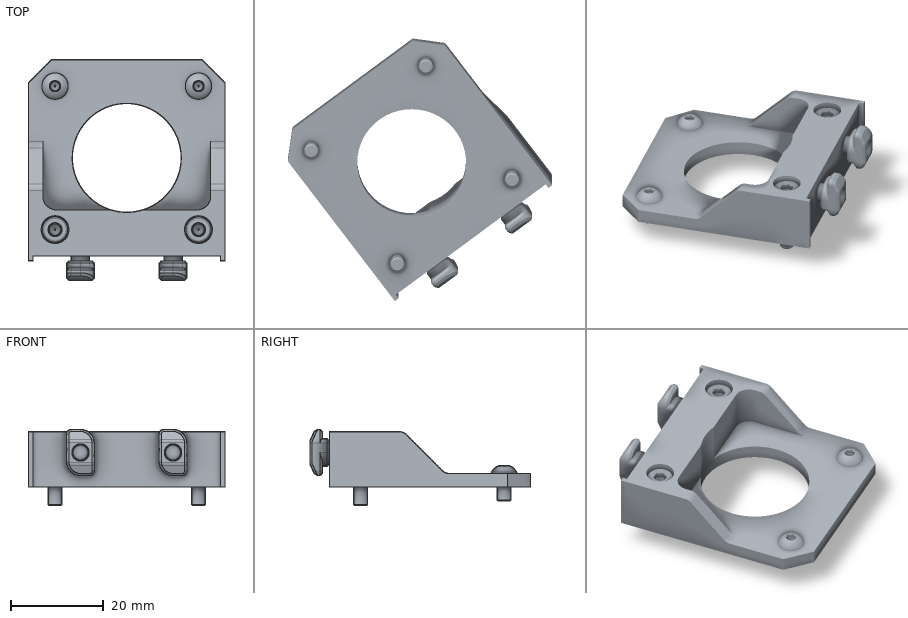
import cadquery as cq
import math


WIDTH = 42.5
BACK_Y = 21.25
TAB_FRONT_Y = -22.25
TAB_LENGTH = 1.0
TAB_WIDTH = 1.0
PLATE_THICKNESS = 3.0
HEIGHT = 12.0
CORNER_CHAMFER = 5.0
BORE_DIAMETER = 23.5
SIDE_WALL = 3.1
POCKET_FRONT_Y = -11.25
POCKET_CORNER_RADIUS = 3.0
SLOPE_LOW_Y = 2.75
SLOPE_RADIUS = 2.0
SLOPE_HIGH_Y = SLOPE_LOW_Y - (HEIGHT - PLATE_THICKNESS)

SCREW_OFFSET = 15.5
SCREW_DIAMETER = 3.0
SCREW_TIP_CHAMFER = 0.25
HEX_SIDES = 6
SOCKET_POINT_ANGLE = 120.0
SOCKET_POINT_FLAT = 0.3
SOCKET_MOUTH_ANGLE = 90.0

CAP_HEAD_DIAMETER = 5.5
CAP_HEAD_HEIGHT = 3.0
CAP_HEAD_FILLET = 0.3
CAP_LENGTH = 12.0
CAP_SOCKET_FLATS = 2.5
CAP_SOCKET_MOUTH = 3.0
CAP_SOCKET_DEPTH = 1.3
COUNTERBORE_DIAMETER = 6.0
COUNTERBORE_DEPTH = 4.0
CAP_SEAT_Z = HEIGHT - COUNTERBORE_DEPTH

BUTTON_HEAD_DIAMETER = 5.7
BUTTON_HEAD_HEIGHT = 1.65
BUTTON_LENGTH = 6.0
BUTTON_SOCKET_FLATS = 2.0
BUTTON_SOCKET_MOUTH = 2.4
BUTTON_SOCKET_DEPTH = 1.0

NUT_OFFSET = 10.0
NUT_Z = 7.5
NUT_WIDTH = 6.0
NUT_LENGTH = 10.0
NUT_NECK_DEPTH = 1.5
NUT_FLANGE_DEPTH = 2.75
NUT_DEPTH = NUT_NECK_DEPTH + NUT_FLANGE_DEPTH
NUT_CORNER_RADIUS = 1.0
NUT_CHAMFER = 0.5
NUT_FACE_HALF_HEIGHT = 2.5
NUT_SLANT_ANGLE = 25.0
NUT_SLANT_FILLET = 1.5
FACING_LIMIT = 0.1
NUT_THREAD_DIAMETER = 3.25
NUT_MOUTH_DIAMETER = 3.75
BOLT_DIAMETER = 4.0
BOLT_END_RECESS = 1.25
BOLT_END_Y = TAB_FRONT_Y - NUT_DEPTH + BOLT_END_RECESS


def mirrored_x(offset):
    """The two X positions at equal distances from the middle plane."""
    return (-offset, offset)


def make_housing():
    side_profile = (
        cq.Workplane("YZ")
        .moveTo(TAB_FRONT_Y, 0)
        .lineTo(BACK_Y, 0)
        .lineTo(BACK_Y, PLATE_THICKNESS)
        .lineTo(SLOPE_LOW_Y, PLATE_THICKNESS)
        .lineTo(SLOPE_HIGH_Y, HEIGHT)
        .lineTo(TAB_FRONT_Y, HEIGHT)
        .close()
    )
    body = side_profile.extrude(WIDTH / 2, both=True)
    slope_edges = cq.selectors.BoxSelector(
        (-WIDTH, SLOPE_HIGH_Y - SLOPE_RADIUS, PLATE_THICKNESS - SLOPE_RADIUS),
        (WIDTH, SLOPE_LOW_Y + SLOPE_RADIUS, HEIGHT + SLOPE_RADIUS),
    )
    body = body.edges("|X").edges(slope_edges).fillet(SLOPE_RADIUS)
    body = body.edges("|Z and >Y").chamfer(CORNER_CHAMFER)

    pocket_width = WIDTH - 2 * SIDE_WALL
    pocket = (
        cq.Workplane("XY", origin=(0, 0, PLATE_THICKNESS))
        .moveTo(-pocket_width / 2, POCKET_FRONT_Y)
        .rect(pocket_width, BACK_Y - POCKET_FRONT_Y, centered=False)
        .extrude(HEIGHT)
        .edges("|Z and <Y")
        .fillet(POCKET_CORNER_RADIUS)
    )
    bore = cq.Workplane("XY").circle(BORE_DIAMETER / 2).extrude(HEIGHT)

    front_recess = (
        cq.Workplane("XY")
        .moveTo(-WIDTH / 2 + TAB_WIDTH, TAB_FRONT_Y)
        .rect(WIDTH - 2 * TAB_WIDTH, TAB_LENGTH, centered=False)
        .extrude(HEIGHT)
    )
    body = body.cut(pocket).cut(bore).cut(front_recess)

    for x in mirrored_x(SCREW_OFFSET):
        back_hole = cylinder_z(SCREW_DIAMETER, PLATE_THICKNESS, x, SCREW_OFFSET, 0)
        front_hole = cylinder_z(SCREW_DIAMETER, HEIGHT, x, -SCREW_OFFSET, 0)
        counterbore = cylinder_z(
            COUNTERBORE_DIAMETER, COUNTERBORE_DEPTH, x, -SCREW_OFFSET, CAP_SEAT_Z
        )
        body = body.cut(back_hole).cut(front_hole).cut(counterbore)
    for x in mirrored_x(NUT_OFFSET):
        body = body.cut(make_bolt(x))
    return body


def cylinder_z(diameter, height, x, y, z):
    return cq.Workplane("XY", origin=(x, y, z)).circle(diameter / 2).extrude(height)


def cut_hex_socket(screw, top_z, flats, mouth, depth):
    """Cut a hexagon socket with a conical mouth and a drill point, flat at its tip, at the bottom.

    Two of the hexagon's flats face front and back.
    """
    hexagon = (
        cq.Workplane("XY", origin=(0, 0, top_z))
        .polygon(HEX_SIDES, flats / math.cos(math.pi / HEX_SIDES))
        .extrude(-depth)
    )
    drill_point = make_cone(flats, SOCKET_POINT_FLAT, top_z - depth, SOCKET_POINT_ANGLE)
    mouth_cone = make_cone(mouth, SOCKET_POINT_FLAT, top_z, SOCKET_MOUTH_ANGLE)
    return screw.cut(hexagon).cut(drill_point).cut(mouth_cone)


def make_cone(diameter, point_diameter, base_z, point_angle):
    """Cone on the Z axis with its base up and a small flat on its point, which is down."""
    radius = diameter / 2
    point_radius = point_diameter / 2
    depth = (radius - point_radius) / math.tan(math.radians(point_angle / 2))
    return (
        cq.Workplane("XZ")
        .moveTo(0, base_z)
        .lineTo(radius, base_z)
        .lineTo(point_radius, base_z - depth)
        .lineTo(0, base_z - depth)
        .close()
        .revolve(360, (0, 0, 0), (0, 1, 0))
    )


def make_shank(length):
    """Screw shank hanging down from the seat of the head at z = 0."""
    shank = cq.Workplane("XY").circle(SCREW_DIAMETER / 2).extrude(-length)
    return shank.faces("<Z").chamfer(SCREW_TIP_CHAMFER)


def make_cap_screw(x):
    head = cq.Workplane("XY").circle(CAP_HEAD_DIAMETER / 2).extrude(CAP_HEAD_HEIGHT)
    head = head.faces(">Z").edges().fillet(CAP_HEAD_FILLET)
    screw = head.union(make_shank(CAP_LENGTH))
    screw = cut_hex_socket(
        screw, CAP_HEAD_HEIGHT, CAP_SOCKET_FLATS, CAP_SOCKET_MOUTH, CAP_SOCKET_DEPTH
    )
    return screw.translate((x, -SCREW_OFFSET, CAP_SEAT_Z))


def make_button_screw(x):
    rim = BUTTON_HEAD_DIAMETER / 2
    top = BUTTON_SOCKET_MOUTH / 2
    sphere_z = (BUTTON_HEAD_HEIGHT**2 + top**2 - rim**2) / (2 * BUTTON_HEAD_HEIGHT)
    sphere_radius = math.hypot(rim, sphere_z)
    middle_z = BUTTON_HEAD_HEIGHT / 2
    middle = math.sqrt(sphere_radius**2 - (middle_z - sphere_z) ** 2)
    head = (
        cq.Workplane("XZ")
        .lineTo(rim, 0)
        .threePointArc((middle, middle_z), (top, BUTTON_HEAD_HEIGHT))
        .lineTo(0, BUTTON_HEAD_HEIGHT)
        .close()
        .revolve(360, (0, 0, 0), (0, 1, 0))
    )
    screw = head.union(make_shank(BUTTON_LENGTH))
    screw = cut_hex_socket(
        screw, BUTTON_HEAD_HEIGHT, BUTTON_SOCKET_FLATS, BUTTON_SOCKET_MOUTH, BUTTON_SOCKET_DEPTH
    )
    return screw.translate((x, SCREW_OFFSET, PLATE_THICKNESS))


def make_bolt(x):
    """Plain bolt from the pocket, through the front wall, into the T-nut."""
    return (
        cq.Workplane("XZ", origin=(x, POCKET_FRONT_Y, NUT_Z))
        .circle(BOLT_DIAMETER / 2)
        .extrude(POCKET_FRONT_Y - BOLT_END_Y)
    )


def rounded_block(length, depth, start_y, large_corner_sign):
    """Block with one diagonal pair of full-radius corners and one pair of small corners.

    large_corner_sign is +1 when the large corners are at +X+Z and -X-Z, and -1 when they
    are at -X+Z and +X-Z.
    """
    block = cq.Workplane("XZ", origin=(0, start_y, 0)).rect(NUT_WIDTH, length).extrude(depth)
    for sign_x in (-1, 1):
        for sign_z in (-1, 1):
            is_large = sign_x * sign_z == large_corner_sign
            radius = NUT_WIDTH / 2 if is_large else NUT_CORNER_RADIUS
            corner = (sign_x * NUT_WIDTH / 2, start_y - depth / 2, sign_z * length / 2)
            block = block.edges(cq.selectors.NearestToPointSelector(corner)).fillet(radius)
    return block


def front_rim(block):
    """Edges that bound the forward-facing faces, without the edges between those faces."""
    front_edges = []
    for face in block.faces().vals():
        if face.normalAt().y < -FACING_LIMIT:
            front_edges.extend(face.Edges())
    return [
        edge for edge in front_edges
        if sum(edge.isSame(other) for other in front_edges) == 1
    ]


def make_nut(x):
    flange = rounded_block(NUT_LENGTH, NUT_FLANGE_DEPTH, -NUT_NECK_DEPTH, 1)
    half_length = NUT_LENGTH / 2
    slant_drop = (half_length - NUT_FACE_HALF_HEIGHT) * math.tan(math.radians(NUT_SLANT_ANGLE))
    slant_y = slant_drop - NUT_DEPTH
    slanted_front = (
        cq.Workplane("YZ")
        .moveTo(0, -half_length)
        .lineTo(slant_y, -half_length)
        .lineTo(-NUT_DEPTH, -NUT_FACE_HALF_HEIGHT)
        .lineTo(-NUT_DEPTH, NUT_FACE_HALF_HEIGHT)
        .lineTo(slant_y, half_length)
        .lineTo(0, half_length)
        .close()
        .extrude(NUT_WIDTH, both=True)
    )
    slanted_front = slanted_front.faces("<Y").edges("|X").fillet(NUT_SLANT_FILLET)
    flange = flange.intersect(slanted_front)
    flange = flange.newObject(front_rim(flange)).chamfer(NUT_CHAMFER)
    flange = flange.faces(">Y").edges().chamfer(NUT_CHAMFER)

    neck = rounded_block(NUT_WIDTH, NUT_NECK_DEPTH + NUT_CHAMFER, 0, -1)
    neck = neck.faces(">Y").edges().chamfer(NUT_CHAMFER)
    nut = flange.union(neck)

    mouth_chamfer = (NUT_MOUTH_DIAMETER - NUT_THREAD_DIAMETER) / 2
    thread = cq.Workplane("XZ").circle(NUT_THREAD_DIAMETER / 2).extrude(NUT_DEPTH)
    mouth = (
        cq.Workplane("XZ", origin=(0, -NUT_DEPTH, 0))
        .circle(NUT_MOUTH_DIAMETER / 2)
        .workplane(offset=-mouth_chamfer)
        .circle(NUT_THREAD_DIAMETER / 2)
        .loft()
    )
    nut = nut.cut(thread).cut(mouth)
    return nut.translate((x, TAB_FRONT_Y, NUT_Z)).cut(make_bolt(x))


housing = make_housing()
cap_screws = [make_cap_screw(x) for x in mirrored_x(SCREW_OFFSET)]
button_screws = [make_button_screw(x) for x in mirrored_x(SCREW_OFFSET)]
bolts = [make_bolt(x) for x in mirrored_x(NUT_OFFSET)]
nuts = [make_nut(x) for x in mirrored_x(NUT_OFFSET)]

bodies = [housing, *cap_screws, *button_screws, *bolts, *nuts]
result = cq.Compound.makeCompound([body.val() for body in bodies])